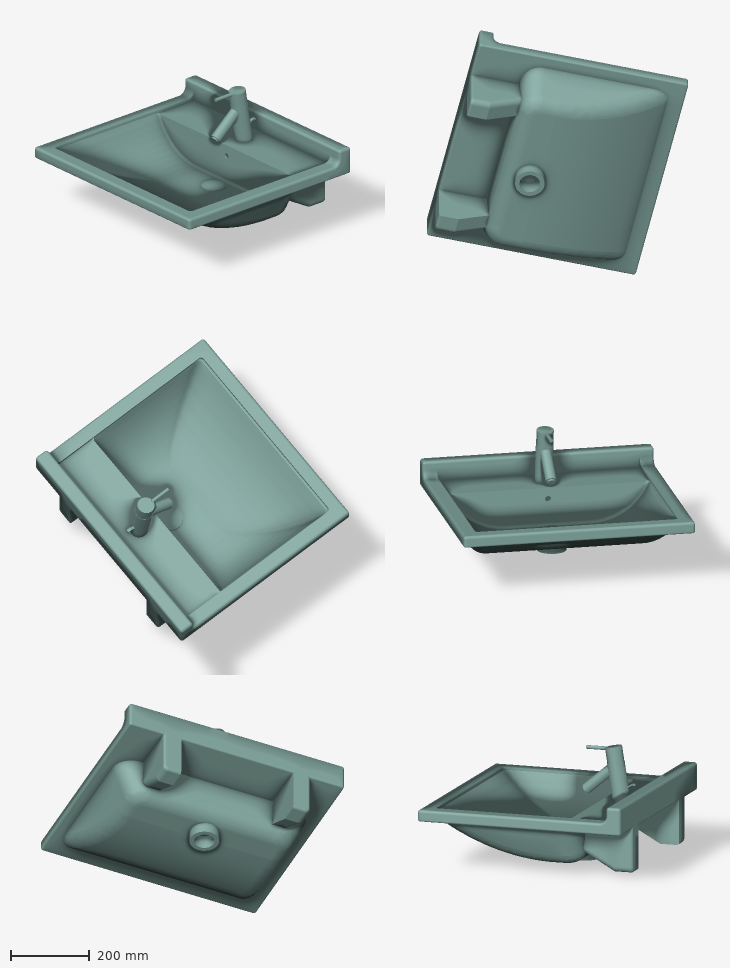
import cadquery as cq
import math


WIDTH = 600.0
DEPTH = 545.0
RIM_THICKNESS = 30.0
SPLASH_HEIGHT = 41.5
SPLASH_DEPTH = 38.5
SPLASH_COVE = 19.0
EDGE_ROUND = 7.0
UNDERSIDE_ROUND = 5.0

RIM_BORDER = 37.0
OPENING_HALF = WIDTH / 2 - RIM_BORDER
OPENING_FRONT = 509.5
OPENING_CORNER_ROUND = 8.0
LIP_HEIGHT = 7.0
DECK_DEPTH = 9.0

BOWL_BACK = 157.0
BOWL_FLOOR_Z = -110.0
FLOOR_HALF = 110.5
FLOOR_FRONT = 293.5
FLOOR_BEND = 84.0
HOLLOW_TOP_Z = 6.0
SLOPE_TOP = 516.0
FRONT_SLOPE_SAG = 22.0
VALLEY_ROUND = 13.0
HOLLOW_ROUND = 8.0

SHELL_BOTTOM_Z = -132.0
SHELL_TOP_HALF = 267.5
SHELL_BOTTOM_HALF = 222.0
SHELL_BACK = 124.0
SHELL_BACK_BOTTOM = 132.0
SHELL_FLAT_FRONT = 225.5
SHELL_TOP_FRONT = 504.0
SHELL_SLOPE_SAG = 23.5
SHELL_SIDE_ROUND = 42.0
SHELL_CORNER_ROUND = 52.0

BRACKET_OUTER_X = 204.5
BRACKET_WIDTH = 48.0
BRACKET_BOTTOM_Z = -146.0
BRACKET_FOOT = 51.0
BRACKET_END = 144.0
BRACKET_END_Z = -94.0
BRACKET_ROUND = 14.0

OVERLAP = 6.0

DRAIN_Y = -200.5
DRAIN_DIA = 75.0
DRAIN_BOSS_Z = -140.5
DRAIN_HOLE_DIA = 52.0
PIPE_BOTTOM_Z = -160.0
PLUG_DIA = 65.0
PLUG_RIM = 3.0
PLUG_DOME = 3.5
PLUG_NECK = 12.0

OVERFLOW_Z = -39.0
OVERFLOW_DIA = 20.0
OVERFLOW_BORE_DIA = 15.0
OVERFLOW_LENGTH = 12.0

TAP_LEAN = math.radians(9.0)
TAP_AXIS = (0, -math.sin(TAP_LEAN), math.cos(TAP_LEAN))
TAP_BASE_Y = -101.0
TAP_BODY_DIA = 45.0
TAP_BODY_LENGTH = 95.5
TAP_SUNK = 24.0
HANDLE_DIA = 44.0
HANDLE_LENGTH = 40.0
LEVER_DIA = 9.5
LEVER_Z = 128.0
LEVER_END = 194.5
LEVER_ROOT = 2.5
SPOUT_DIA = 28.0
SPOUT_DROP = math.radians(40.0)
SPOUT_AXIS = (0, -math.cos(SPOUT_DROP), -math.sin(SPOUT_DROP))
SPOUT_LENGTH = 92.5
SPOUT_END_Y = -194.5
SPOUT_END_Z = 20.0
AERATOR_DIA = 20.0
AERATOR_LENGTH = 8.5
AERATOR_STICK_OUT = 4.0

ROD_WIDTH = 8.0
ROD_THICKNESS = 3.5
ROD_TIP_Y = -62.5
ROD_BEND_Y = -72.0
ROD_BEND_Z = 40.0
ROD_END_Y = -87.5
ROD_END_Z = 30.5

UP = (0, 0, 1)
INTO_WALL = (0, 1, 0)
FORWARD = (0, -1, 0)


def bowed_middle(start, end, sag):
    """Middle point of an arc from start to end that bulges by sag to the left of that direction."""
    run = end[0] - start[0]
    rise = end[1] - start[1]
    chord = math.hypot(run, rise)
    return (
        (start[0] + end[0]) / 2 - sag * rise / chord,
        (start[1] + end[1]) / 2 + sag * run / chord,
    )


def across(sketch, half_width):
    """Extrude a YZ outline to both sides of the plane of symmetry."""
    return sketch.extrude(half_width, both=True)


def cylinder(dia, start, direction, length):
    plane = cq.Plane(origin=start, xDir=(1, 0, 0), normal=direction)
    return cq.Workplane(plane).circle(dia / 2).extrude(length)


def is_rounded_rim_edge(middle):
    """True for the edges on top of the slab, except the lines along the cove and up the back corners."""
    in_back_half = middle.y > -DEPTH / 2
    in_cove = in_back_half and abs(middle.x) < 6 and middle.z < SPLASH_HEIGHT - EDGE_ROUND
    in_back_corner = middle.y > -EDGE_ROUND - 0.5 and middle.z < SPLASH_HEIGHT / 2
    return middle.z > -0.5 and not in_cove and not in_back_corner


def make_rim():
    outline = (
        cq.Workplane("YZ")
        .moveTo(0, -RIM_THICKNESS)
        .lineTo(-DEPTH, -RIM_THICKNESS)
        .lineTo(-DEPTH, 0)
        .lineTo(-SPLASH_DEPTH - SPLASH_COVE, 0)
        .radiusArc((-SPLASH_DEPTH, SPLASH_COVE), -SPLASH_COVE)
        .lineTo(-SPLASH_DEPTH, SPLASH_HEIGHT)
        .lineTo(0, SPLASH_HEIGHT)
        .close()
    )
    slab = across(outline, WIDTH / 2)
    slab = slab.edges("|Z").edges("<Y or >Y").fillet(EDGE_ROUND)
    slab = slab.faces("<Z").edges().fillet(UNDERSIDE_ROUND)
    upper_edges = slab.edges().filter(lambda edge: is_rounded_rim_edge(edge.Center()))
    return upper_edges.fillet(EDGE_ROUND)


def make_shell():
    """Outside of the bowl: a side-to-side outline and a front-to-back outline, intersected."""
    top_z = -RIM_THICKNESS + OVERLAP
    lean = (SHELL_TOP_HALF - SHELL_BOTTOM_HALF) / (-RIM_THICKNESS - SHELL_BOTTOM_Z)
    top_half = SHELL_TOP_HALF + lean * OVERLAP
    across_shell = (
        cq.Workplane("XZ")
        .moveTo(-SHELL_BOTTOM_HALF, SHELL_BOTTOM_Z)
        .lineTo(SHELL_BOTTOM_HALF, SHELL_BOTTOM_Z)
        .lineTo(top_half, top_z)
        .lineTo(-top_half, top_z)
        .close()
        .extrude(DEPTH)
    )
    slope_start = (-SHELL_TOP_FRONT, -RIM_THICKNESS)
    slope_end = (-SHELL_FLAT_FRONT, SHELL_BOTTOM_Z)
    along_shell = (
        cq.Workplane("YZ")
        .moveTo(-SHELL_BACK, top_z)
        .lineTo(-SHELL_TOP_FRONT, top_z)
        .lineTo(*slope_start)
        .threePointArc(bowed_middle(slope_start, slope_end, -SHELL_SLOPE_SAG), slope_end)
        .lineTo(-SHELL_BACK_BOTTOM, SHELL_BOTTOM_Z)
        .close()
    )
    shell = across(along_shell, WIDTH / 2).intersect(across_shell)
    shell = shell.faces(">Y").edges("not |X").fillet(SHELL_CORNER_ROUND)
    return shell.faces("<Z").edges("not <Y").fillet(SHELL_SIDE_ROUND)


def is_valley(middle):
    """True for the curved lines where the front slope of the hollow meets its side walls."""
    on_slope = -SLOPE_TOP < middle.y < -FLOOR_FRONT + 12
    return on_slope and abs(middle.x) > 6 and middle.z < HOLLOW_TOP_Z - 0.5


def make_hollow():
    """Space inside the bowl below the lip."""
    lip_rise = -LIP_HEIGHT - BOWL_FLOOR_Z
    reach = OPENING_HALF - FLOOR_HALF
    radius = (lip_rise**2 + reach**2) / (2 * lip_rise)
    top_rise = HOLLOW_TOP_Z - BOWL_FLOOR_Z
    top_half = FLOOR_HALF + math.sqrt(radius**2 - (radius - top_rise) ** 2)
    across_hollow = (
        cq.Workplane("XZ")
        .moveTo(-FLOOR_HALF, BOWL_FLOOR_Z)
        .lineTo(FLOOR_HALF, BOWL_FLOOR_Z)
        .radiusArc((top_half, HOLLOW_TOP_Z), -radius)
        .lineTo(-top_half, HOLLOW_TOP_Z)
        .radiusArc((-FLOOR_HALF, BOWL_FLOOR_Z), -radius)
        .close()
        .extrude(DEPTH)
    )
    slope_start = (-SLOPE_TOP, HOLLOW_TOP_Z)
    slope_end = (-FLOOR_FRONT, BOWL_FLOOR_Z)
    outline = (
        cq.Workplane("YZ")
        .moveTo(-BOWL_BACK, HOLLOW_TOP_Z)
        .lineTo(*slope_start)
        .threePointArc(bowed_middle(slope_start, slope_end, -FRONT_SLOPE_SAG), slope_end)
        .lineTo(-BOWL_BACK, BOWL_FLOOR_Z)
        .close()
    )
    along_hollow = across(outline, WIDTH / 2)
    along_hollow = along_hollow.faces("<Z").edges("<Y").fillet(FLOOR_BEND)
    hollow = along_hollow.intersect(across_hollow)
    valleys = hollow.edges().filter(lambda edge: is_valley(edge.Center()))
    hollow = valleys.fillet(VALLEY_ROUND)
    hollow = hollow.faces(">Y").edges("not >Z").fillet(HOLLOW_ROUND)
    below_lip = cq.Workplane("XY", origin=(0, 0, -LIP_HEIGHT)).rect(2 * WIDTH, 2 * WIDTH).extrude(-DEPTH)
    return hollow.intersect(below_lip)


def make_lip():
    """Upright-walled opening in the rim above the hollow."""
    lip = (
        cq.Workplane("XY", origin=(0, -(OPENING_FRONT + BOWL_BACK) / 2, -LIP_HEIGHT))
        .rect(2 * OPENING_HALF, OPENING_FRONT - BOWL_BACK)
        .extrude(LIP_HEIGHT + OVERLAP)
    )
    return lip.edges("|Z and <Y").fillet(OPENING_CORNER_ROUND)


def make_deck_pocket():
    return (
        cq.Workplane("XY", origin=(0, -(SPLASH_DEPTH + BOWL_BACK) / 2, -DECK_DEPTH))
        .rect(2 * OPENING_HALF, BOWL_BACK - SPLASH_DEPTH)
        .extrude(DECK_DEPTH + SPLASH_COVE)
    )


def make_bracket(side):
    """Wall bracket on the side of negative X (side = -1) or positive X (side = 1)."""
    left_x = side * (BRACKET_OUTER_X - BRACKET_WIDTH / 2) - BRACKET_WIDTH / 2
    top_z = -RIM_THICKNESS + OVERLAP
    outline = [
        (0, top_z),
        (0, BRACKET_BOTTOM_Z),
        (-BRACKET_FOOT, BRACKET_BOTTOM_Z),
        (-BRACKET_END, BRACKET_END_Z),
        (-BRACKET_END, top_z),
    ]
    outer_side = ">X" if side > 0 else "<X"
    bracket = cq.Workplane("YZ", origin=(left_x, 0, 0)).polyline(outline).close().extrude(BRACKET_WIDTH)
    lower_edges = bracket.faces(outer_side).edges().filter(lambda edge: edge.Center().z < BRACKET_END_Z)
    bracket = lower_edges.fillet(BRACKET_ROUND)
    return bracket.faces(outer_side).edges(">Y").fillet(EDGE_ROUND)


def make_basin():
    solid = make_rim().union(make_shell())
    solid = solid.cut(make_hollow()).cut(make_lip()).cut(make_deck_pocket())
    for side in (-1, 1):
        solid = solid.union(make_bracket(side))
    boss_height = SHELL_BOTTOM_Z + OVERLAP - DRAIN_BOSS_Z
    solid = solid.union(cylinder(DRAIN_DIA, (0, DRAIN_Y, DRAIN_BOSS_Z), UP, boss_height))
    hole_depth = BOWL_FLOOR_Z - DRAIN_BOSS_Z
    solid = solid.cut(cylinder(DRAIN_HOLE_DIA, (0, DRAIN_Y, DRAIN_BOSS_Z), UP, hole_depth))
    return solid.cut(cylinder(OVERFLOW_DIA, (0, -BOWL_BACK, OVERFLOW_Z), INTO_WALL, OVERFLOW_LENGTH))


def make_overflow_ring():
    start = (0, -BOWL_BACK, OVERFLOW_Z)
    ring = cylinder(OVERFLOW_DIA, start, INTO_WALL, OVERFLOW_LENGTH)
    return ring.cut(cylinder(OVERFLOW_BORE_DIA, start, INTO_WALL, OVERFLOW_LENGTH))


def make_drain_pipe():
    start = (0, DRAIN_Y, PIPE_BOTTOM_Z)
    length = DRAIN_BOSS_Z - PIPE_BOTTOM_Z
    pipe = cylinder(DRAIN_DIA, start, UP, length)
    return pipe.cut(cylinder(DRAIN_HOLE_DIA, start, UP, length))


def make_plug():
    """Domed plug on the bowl floor, with a neck that fills the top of the drain hole."""
    radius = PLUG_DIA / 2
    dome_radius = (radius**2 + PLUG_DOME**2) / (2 * PLUG_DOME)
    outline = (
        cq.Workplane("XZ", origin=(0, DRAIN_Y, BOWL_FLOOR_Z))
        .moveTo(0, -PLUG_NECK)
        .lineTo(DRAIN_HOLE_DIA / 2, -PLUG_NECK)
        .lineTo(DRAIN_HOLE_DIA / 2, 0)
        .lineTo(radius, 0)
        .lineTo(radius, PLUG_RIM)
        .radiusArc((0, PLUG_RIM + PLUG_DOME), -dome_radius)
        .close()
    )
    return outline.revolve(360, (0, 0, 0), (0, 1, 0))


def on_tap_axis(distance):
    """Point on the tap's axis, measured from the level of the rim."""
    return (0, TAP_BASE_Y + distance * TAP_AXIS[1], distance * TAP_AXIS[2])


def on_spout_axis(distance):
    """Point on the spout's axis, measured from the spout's end."""
    return (0, SPOUT_END_Y + distance * SPOUT_AXIS[1], SPOUT_END_Z + distance * SPOUT_AXIS[2])


def make_pull_rod():
    """Flat bent strip that rises out of the back of the tap."""
    upper_line = [(ROD_END_Y, ROD_END_Z), (ROD_BEND_Y, ROD_BEND_Z), (ROD_TIP_Y, ROD_BEND_Z)]
    lower_line = [(y, z - ROD_THICKNESS) for y, z in reversed(upper_line)]
    outline = cq.Workplane("YZ").polyline(upper_line + lower_line).close()
    return across(outline, ROD_WIDTH / 2)


def make_aerator():
    inner_end = AERATOR_STICK_OUT - AERATOR_LENGTH
    return cylinder(AERATOR_DIA, on_spout_axis(inner_end), SPOUT_AXIS, AERATOR_LENGTH)


def make_tap_body():
    """Leaning body, cut off level with the deck, and its spout."""
    body = cylinder(TAP_BODY_DIA, on_tap_axis(-TAP_SUNK), TAP_AXIS, TAP_SUNK + TAP_BODY_LENGTH)
    cutter_side = 2 * TAP_BODY_DIA
    below_deck = (
        cq.Workplane("XY", origin=(0, TAP_BASE_Y, -DECK_DEPTH))
        .rect(cutter_side, cutter_side)
        .extrude(-2 * TAP_SUNK)
    )
    body = body.cut(below_deck)
    body = body.union(cylinder(SPOUT_DIA, on_spout_axis(-SPOUT_LENGTH), SPOUT_AXIS, SPOUT_LENGTH))
    return body.cut(make_aerator()).cut(make_pull_rod())


def make_handle():
    """Cap on top of the tap body, with a level lever."""
    handle = cylinder(HANDLE_DIA, on_tap_axis(TAP_BODY_LENGTH), TAP_AXIS, HANDLE_LENGTH)
    root_y = TAP_BASE_Y - LEVER_Z * math.tan(TAP_LEAN) - HANDLE_DIA / 2 + LEVER_ROOT
    return handle.union(cylinder(LEVER_DIA, (0, root_y, LEVER_Z), FORWARD, LEVER_END + root_y))


basin = make_basin()
overflow_ring = make_overflow_ring()
drain_pipe = make_drain_pipe()
plug = make_plug()
tap_body = make_tap_body()
handle = make_handle()
aerator = make_aerator()
pull_rod = make_pull_rod()

result = cq.Compound.makeCompound(
    [
        basin.val(),
        overflow_ring.val(),
        drain_pipe.val(),
        plug.val(),
        tap_body.val(),
        handle.val(),
        aerator.val(),
        pull_rod.val(),
    ]
)